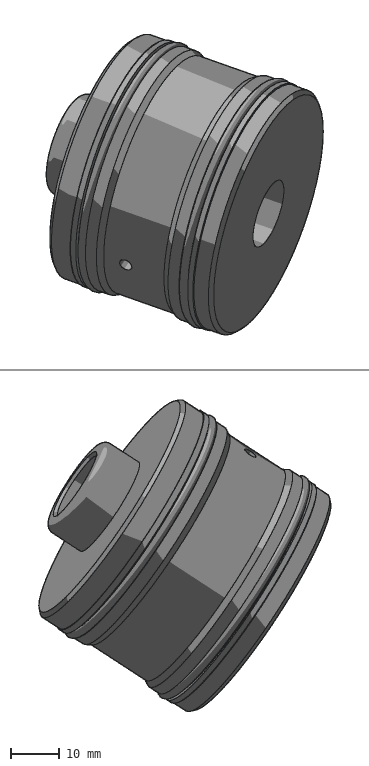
import cadquery as cq
import math

length = 46.55
overall_radius = 27.4

boss_radius = 11.05
boss_length = 8.7
boss_fillet = 1.65
bore_radius = 7.35
bore_chamfer = 0.65
land_radius = 26.9
land_chamfer = 0.8
waist_radius = 26.15
waist_center = 28.15
waist_length = 13.9
waist_taper = 1.3

port_diameter = 2.8
port_x = 26.3

groove_width = 3.45
groove_radius = 25.75
groove_outer_offset = 14.25
groove_first_x = waist_center - groove_outer_offset
groove_last_x = waist_center + groove_outer_offset

oring_section_diameter = 1.8
oring_section_radius = oring_section_diameter / 2
oring_center_radius = overall_radius - oring_section_radius
groove_inner_offset = groove_outer_offset - groove_width
oring_offset = groove_inner_offset + oring_section_radius
oring_foot = math.sqrt(oring_section_radius**2 - (oring_center_radius - groove_radius) ** 2)
flat_ring_radius = 27.1
fixed_ring_width = 1.3
loose_ring_width = 1.15
loose_ring_gap = 0.15


def make_turned_body():
    """Revolved piston with its boss, grooves, O-rings, fixed flat ring, waist and bore.

    Each O-ring touches the inner groove wall at the height of its section center.
    """
    waist_start = waist_center - waist_length / 2
    waist_end = waist_center + waist_length / 2
    first_oring_x = waist_center - oring_offset
    last_oring_x = waist_center + oring_offset
    first_inner_wall = waist_center - groove_inner_offset
    last_inner_wall = waist_center + groove_inner_offset
    fixed_ring_end = groove_first_x + fixed_ring_width
    return (
        cq.Workplane("XY")
        .moveTo(0, bore_radius + bore_chamfer)
        .lineTo(0, boss_radius - boss_fillet)
        .radiusArc((boss_fillet, boss_radius), boss_fillet)
        .lineTo(boss_length, boss_radius)
        .lineTo(boss_length, land_radius - land_chamfer)
        .lineTo(boss_length + land_chamfer, land_radius)
        .lineTo(groove_first_x, land_radius)
        .lineTo(groove_first_x, flat_ring_radius)
        .lineTo(fixed_ring_end, flat_ring_radius)
        .lineTo(fixed_ring_end, groove_radius)
        .lineTo(first_oring_x - oring_foot, groove_radius)
        .threePointArc((first_oring_x, overall_radius), (first_inner_wall, oring_center_radius))
        .lineTo(first_inner_wall, land_radius)
        .lineTo(waist_start - waist_taper, land_radius)
        .lineTo(waist_start, waist_radius)
        .lineTo(waist_end, waist_radius)
        .lineTo(waist_end + waist_taper, land_radius)
        .lineTo(last_inner_wall, land_radius)
        .lineTo(last_inner_wall, oring_center_radius)
        .threePointArc((last_oring_x, overall_radius), (last_oring_x + oring_foot, groove_radius))
        .lineTo(groove_last_x, groove_radius)
        .lineTo(groove_last_x, land_radius)
        .lineTo(length - land_chamfer, land_radius)
        .lineTo(length, land_radius - land_chamfer)
        .lineTo(length, bore_radius)
        .lineTo(bore_chamfer, bore_radius)
        .close()
        .revolve(360, (0, 0, 0), (1, 0, 0))
    )


def make_port():
    """Cutter for the port, from outside the waist to the bore axis."""
    return (
        cq.Workplane("XZ", origin=(port_x, 0, 0))
        .circle(port_diameter / 2)
        .extrude(overall_radius)
    )


def make_loose_ring():
    """Flat ring in the far groove, seated on the groove floor clear of its walls."""
    start_x = groove_last_x - loose_ring_gap - loose_ring_width
    return (
        cq.Workplane("YZ", origin=(start_x, 0, 0))
        .circle(flat_ring_radius)
        .circle(groove_radius)
        .extrude(loose_ring_width)
    )


piston = make_turned_body().cut(make_port())
loose_ring = make_loose_ring()

result = cq.Compound.makeCompound([piston.val(), loose_ring.val()])